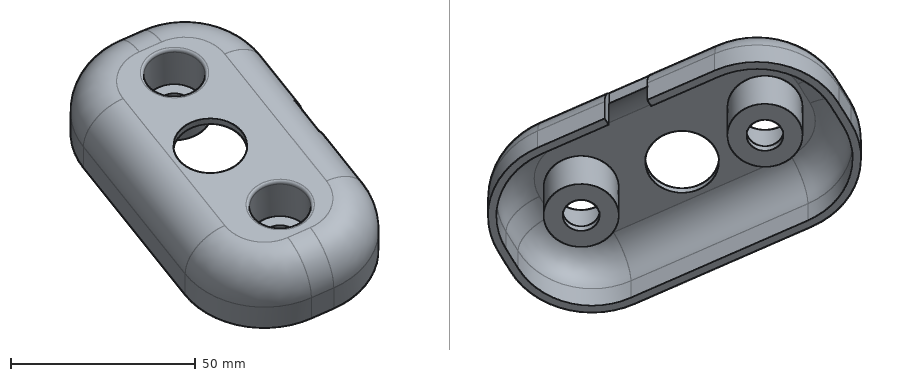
import cadquery as cq

length = 104.0
width = 57.0
height = 21.0
top_fillet = 12.5
corner_radius = 2 * top_fillet
wall = 2.3

screw_spacing = 56.2
screw_offset_y = 0.8
screw_hole_diameter = 10.0
seat_diameter = 16.6
seat_rim_fillet = 0.9
boss_bottom = 4.8
seat_floor = boss_bottom + wall
boss_wall = 1.9
boss_diameter = seat_diameter + 2 * boss_wall

center_hole_diameter = 20.0
center_hole_y = -4.5
notch_width = 13.0
notch_depth = 2.6

screw_points = [(side * screw_spacing / 2, screw_offset_y) for side in (-1, 1)]


def domed_block(inset):
    """Rounded block with a filleted top, moved inward from the outer faces by inset."""
    return (
        cq.Workplane("XY")
        .rect(length - 2 * inset, width - 2 * inset)
        .extrude(height - inset)
        .edges("|Z")
        .fillet(corner_radius - inset)
        .faces(">Z")
        .edges()
        .fillet(top_fillet - inset)
    )


def cylinders(points, diameter, bottom, top):
    """Vertical cylinders at the given points, between two heights."""
    return (
        cq.Workplane("XY", origin=(0, 0, bottom))
        .pushPoints(points)
        .circle(diameter / 2)
        .extrude(top - bottom)
    )


cover = domed_block(0).cut(domed_block(wall))

cover = cover.union(cylinders(screw_points, boss_diameter, boss_bottom, height))

cover = cover.cut(cylinders(screw_points, seat_diameter, seat_floor, height))
for x, y in screw_points:
    rim = cq.selectors.BoxSelector(
        (x - seat_diameter, y - seat_diameter, height - seat_rim_fillet),
        (x + seat_diameter, y + seat_diameter, height + seat_rim_fillet),
        boundingbox=True,
    )
    cover = cover.edges(rim).fillet(seat_rim_fillet)
cover = cover.cut(cylinders(screw_points, screw_hole_diameter, 0, height))

cover = cover.cut(cylinders([(0, center_hole_y)], center_hole_diameter, 0, height))

notch = cq.Workplane("XY").box(notch_width, 2 * notch_depth, height, centered=(True, True, False))
result = cover.cut(notch.translate((0, width / 2, 0)))